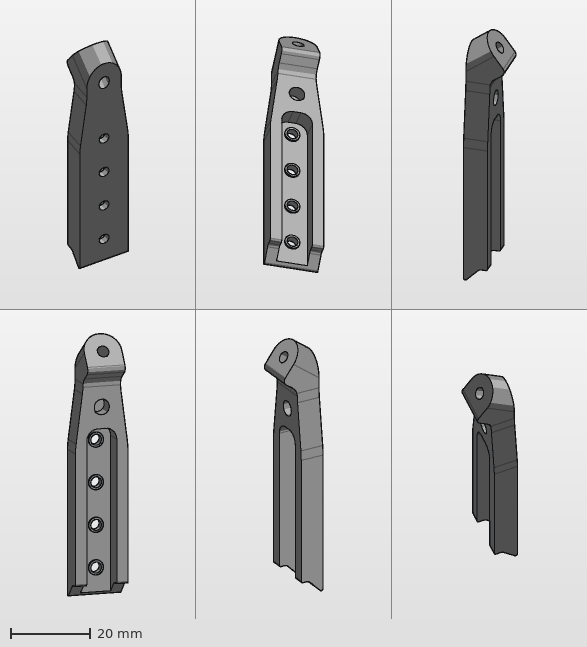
import cadquery as cq
import math

HEIGHT = 68.07
BODY_DEPTH = 6.4
BODY_WIDTH = 14.0

TAPER_START_Z = 39.1
TAPER_END_Z = 54.45
TAPER_BLEND_RADIUS = 20.0

HEAD_WIDTH = 10.0
HEAD_TILT = 36.5
HEAD_FACE_LENGTH = 10.5
HEAD_REACH = 10.18
HEAD_LIP_RADIUS = 1.4
HEAD_NECK_RADIUS = 3.0
HEAD_HOLE_DIAMETER = 3.0

FOOT_STEP_Z = 3.5
FOOT_TIP_RADIUS = 0.5
FOOT_STEP_RADIUS = 1.5
FOOT_EDGE_RADIUS = 0.5

CHANNEL_WIDTH = 8.0
CHANNEL_TOP_Z = 43.9
CHANNEL_CORNER_RADIUS = 3.0
CHANNEL_FLOOR_THICKNESS = 1.5

SCREW_COUNT = 4
SCREW_PITCH = 11.0
SCREW_FIRST_Z = 7.15
SCREW_DIAMETER = 2.8
BOSS_DIAMETER = 3.9
BOSS_HEIGHT = 0.5

BLIND_HOLE_DIAMETER = 4.0
BLIND_HOLE_DEPTH = 4.0
BLIND_HOLE_Z = 49.5

OVERCUT = 1.0

TILT = math.radians(HEAD_TILT)
FACE_DOWN = (-math.sin(TILT), -math.cos(TILT))
FACE_INWARD = (math.cos(TILT), -math.sin(TILT))

LIP_CENTRE_X = HEAD_LIP_RADIUS - HEAD_REACH
APEX_X = (
    LIP_CENTRE_X
    - (HEAD_FACE_LENGTH - HEAD_LIP_RADIUS) * FACE_DOWN[0]
    - HEAD_LIP_RADIUS * FACE_INWARD[0]
)


def head_point(down, inward):
    """XZ point at a distance down the head face and inward from it."""
    x = APEX_X + down * FACE_DOWN[0] + inward * FACE_INWARD[0]
    z = HEIGHT + down * FACE_DOWN[1] + inward * FACE_INWARD[1]
    return (x, z)


def fillet_near(solid, x, z, radius):
    """Round the Y-parallel edge that passes closest to (x, z)."""
    edge = cq.selectors.NearestToPointSelector((x, 0, z))
    return solid.edges("|Y").edges(edge).fillet(radius)


def side_profile():
    """Side outline extruded to full width, with its lip, neck and foot edges rounded."""
    apex = head_point(0, 0)
    lip = head_point(HEAD_FACE_LENGTH, 0)
    back_top = (0, HEIGHT + APEX_X * math.tan(TILT))
    neck = (-BODY_DEPTH, lip[1] - (-BODY_DEPTH - lip[0]) * math.tan(TILT))
    step_front = (-BODY_DEPTH, FOOT_STEP_Z)
    tip = (0, -FOOT_TIP_RADIUS * math.sqrt(2))
    step_back = (tip[1] - FOOT_STEP_Z, FOOT_STEP_Z)
    outline = [apex, lip, neck, step_front, step_back, tip, back_top]
    solid = cq.Workplane("XZ").polyline(outline).close().extrude(BODY_WIDTH / 2, both=True)
    solid = fillet_near(solid, *lip, HEAD_LIP_RADIUS)
    solid = fillet_near(solid, *neck, HEAD_NECK_RADIUS)
    solid = fillet_near(solid, *tip, FOOT_TIP_RADIUS)
    solid = fillet_near(solid, *step_back, FOOT_STEP_RADIUS)
    return fillet_near(solid, *step_front, FOOT_EDGE_RADIUS)


def front_outline():
    """Tapered YZ outline as a prism, with the taper blended into the straight walls."""
    half_body = BODY_WIDTH / 2
    half_head = HEAD_WIDTH / 2
    right_side = [
        (half_body, 0),
        (half_body, TAPER_START_Z),
        (half_head, TAPER_END_Z),
        (half_head, HEIGHT),
    ]
    left_side = [(-y, z) for y, z in reversed(right_side)]
    prism = cq.Workplane("YZ").polyline(right_side + left_side).close().extrude(-HEAD_REACH)
    box_start = (-HEAD_REACH, -HEAD_WIDTH, TAPER_START_Z - OVERCUT)
    box_end = (OVERCUT, HEAD_WIDTH, TAPER_END_Z + OVERCUT)
    taper_edges = cq.selectors.BoxSelector(box_start, box_end)
    return prism.edges("|X").edges(taper_edges).fillet(TAPER_BLEND_RADIUS)


def head_plane():
    """Plane on the head face, centred on its round end; local X is up the face."""
    x, z = head_point(HEAD_WIDTH / 2, 0)
    return cq.Plane(
        origin=(x, 0, z),
        xDir=(-FACE_DOWN[0], 0, -FACE_DOWN[1]),
        normal=(FACE_INWARD[0], 0, FACE_INWARD[1]),
    )


def head_corners():
    """Material outside the full round at the top of the head."""
    radius = HEAD_WIDTH / 2
    block_length = radius + OVERCUT
    depth = 2 * HEAD_REACH
    block = (
        cq.Workplane(head_plane())
        .workplane(offset=-OVERCUT)
        .center(block_length / 2, 0)
        .rect(block_length, HEAD_WIDTH + 2 * OVERCUT)
        .extrude(depth)
    )
    round_end = cq.Workplane(head_plane()).workplane(offset=-OVERCUT).circle(radius).extrude(depth)
    return block.cut(round_end)


def head_hole():
    """Hole square to the head face, out through the back."""
    return cq.Workplane(head_plane()).circle(HEAD_HOLE_DIAMETER / 2).extrude(2 * HEAD_REACH)


def channel():
    """Pocket with rounded upper corners, open at the front and at the foot."""
    length = CHANNEL_TOP_Z + OVERCUT
    return (
        cq.Workplane("YZ", origin=(-CHANNEL_FLOOR_THICKNESS, 0, CHANNEL_TOP_Z - length / 2))
        .rect(CHANNEL_WIDTH, length)
        .extrude(-HEAD_REACH)
        .edges("|X and >Z")
        .fillet(CHANNEL_CORNER_RADIUS)
    )


def cylinder(front_x, z, diameter, length):
    """Round cylinder on the plane of symmetry, running toward +X from front_x."""
    return cq.Workplane("YZ", origin=(front_x, 0, z)).circle(diameter / 2).extrude(length)


def add_screw_hole(solid, z):
    """Raise a boss on the channel floor at height z and drill through it and the floor."""
    boss_front_x = -CHANNEL_FLOOR_THICKNESS - BOSS_HEIGHT
    screw_length = BOSS_HEIGHT + CHANNEL_FLOOR_THICKNESS
    boss = cylinder(boss_front_x, z, BOSS_DIAMETER, BOSS_HEIGHT)
    return solid.union(boss).cut(cylinder(boss_front_x, z, SCREW_DIAMETER, screw_length))


result = side_profile().intersect(front_outline())
result = result.cut(head_corners()).cut(head_hole()).cut(channel())
result = result.cut(cylinder(-BODY_DEPTH, BLIND_HOLE_Z, BLIND_HOLE_DIAMETER, BLIND_HOLE_DEPTH))
for index in range(SCREW_COUNT):
    result = add_screw_hole(result, SCREW_FIRST_Z + index * SCREW_PITCH)